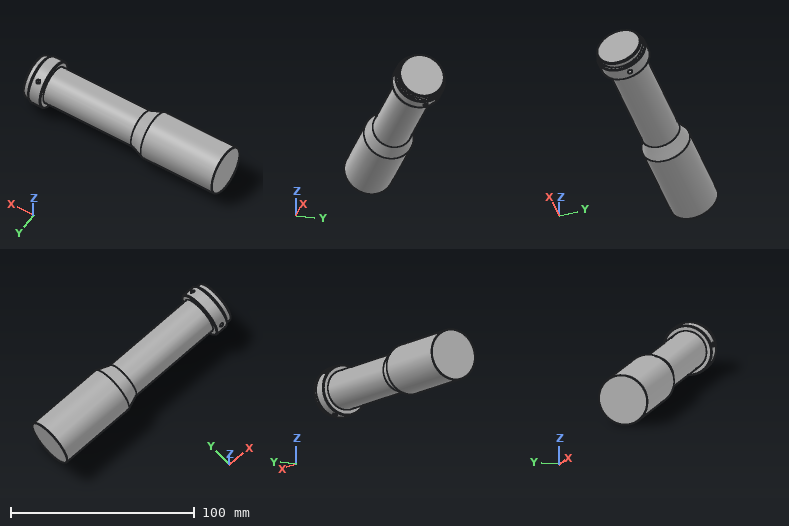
import cadquery as cq
import math

total_length = 123.5

grip_radius = 14.0
grip_length = 46.25
grip_chamfer = 0.25
taper_length = 8.25

neck_radius = 11.0

collar_radius = 14.0
collar_width = 8.0
collar_chamfer = 0.5
groove_radius = 12.0
groove_width = 0.75
tip_radius = 12.75
tip_width = 3.25
tip_chamfer = 0.6

hole_count = 3
hole_diameter = 2.4
hole_depth = 3.0
drill_point_angle = 118.0
hole_first_angle = 46.0
cutter_overrun = 1.0

taper_end = grip_length + taper_length
groove_end = total_length - tip_width
collar_end = groove_end - groove_width
collar_start = collar_end - collar_width


def make_body():
    """Revolve the half outline about the X axis."""
    outline = (
        cq.Workplane("XZ")
        .moveTo(0, 0)
        .lineTo(0, grip_radius - grip_chamfer)
        .lineTo(grip_chamfer, grip_radius)
        .lineTo(grip_length, grip_radius)
        .lineTo(taper_end, neck_radius)
        .lineTo(collar_start, neck_radius)
        .lineTo(collar_start, collar_radius - collar_chamfer)
        .lineTo(collar_start + collar_chamfer, collar_radius)
        .lineTo(collar_end - collar_chamfer, collar_radius)
        .lineTo(collar_end, collar_radius - collar_chamfer)
        .lineTo(collar_end, groove_radius)
        .lineTo(groove_end, groove_radius)
        .lineTo(groove_end, tip_radius)
        .lineTo(total_length - tip_chamfer, tip_radius)
        .lineTo(total_length, tip_radius - tip_chamfer)
        .lineTo(total_length, 0)
        .close()
    )
    return outline.revolve(360, (0, 0, 0), (1, 0, 0))


def make_collar_hole(angle):
    """Blind radial hole with a drill-point bottom, at mid collar, turned about the X axis."""
    collar_middle = (collar_start + collar_end) / 2
    hole_radius = hole_diameter / 2
    shoulder_height = collar_radius - hole_depth
    point_height = shoulder_height - hole_radius / math.tan(math.radians(drill_point_angle / 2))
    half_section = (
        cq.Workplane("XY", origin=(collar_middle, 0, 0))
        .moveTo(0, point_height)
        .lineTo(hole_radius, shoulder_height)
        .lineTo(hole_radius, collar_radius + cutter_overrun)
        .lineTo(0, collar_radius + cutter_overrun)
        .close()
    )
    cutter = half_section.revolve(360, (0, 0, 0), (0, 1, 0))
    return cutter.rotate((0, 0, 0), (1, 0, 0), angle)


result = make_body()
for index in range(hole_count):
    result = result.cut(make_collar_hole(hole_first_angle + index * 360 / hole_count))